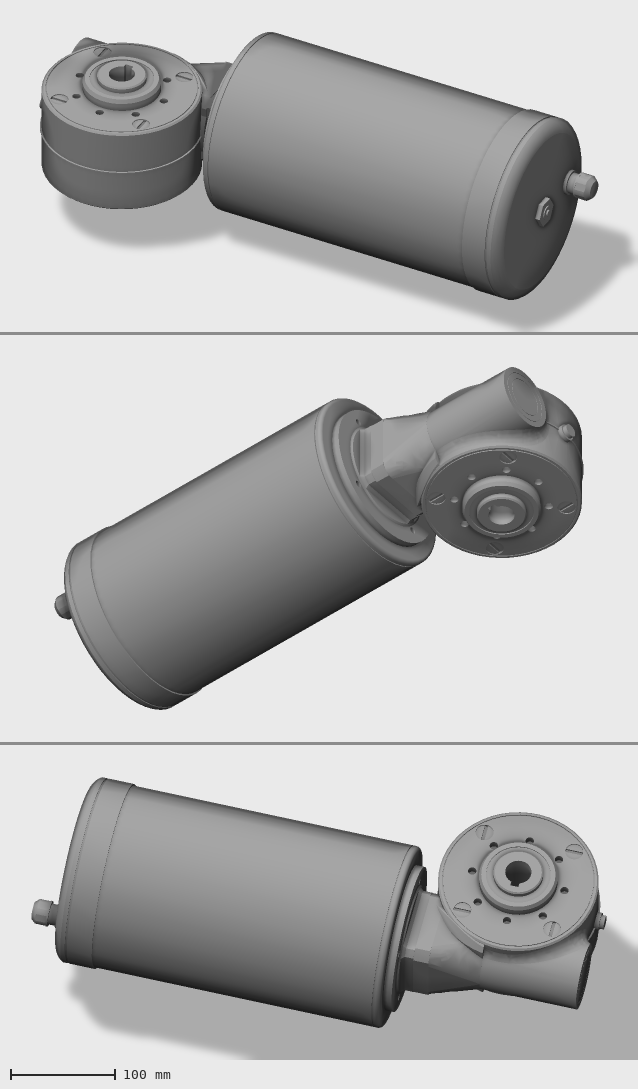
import cadquery as cq
import math

SHAFT_Y = 63.0

CASE_HALF = 44.5
CASE_EDGE_R = 77.0
SEAM_R = 78.5
SEAM_WIDTH = 1.0
CASE_CHAMFER = 1.5
COVER_R = 73.0
COVER_GROOVE_WIDTH = 1.0
COVER_GROOVE_DEPTH = 1.0

HUB_R = 75.0 / 2
HUB_TOP = 56.0
HUB_CHAMFER_R = 2.0
HUB_CHAMFER_H = 4.0
SEAL_R = 62.0 / 2
SEAL_DEPTH = 1.0
SHAFT_R = 47.5 / 2
SHAFT_TIP_R = 45.0 / 2
SHAFT_TOP = 61.0
BORE_R = 25.0 / 2
KEY_WIDTH = 8.0
KEY_REACH = 16.0

TAP_COUNT = 8
TAP_D = 8.0
TAP_PITCH_R = 45.5
TAP_DEPTH = 8.0
SCREW_COUNT = 4
SCREW_D = 17.0
SCREW_PITCH_R = 62.5
SCREW_RECESS = 1.0
SCREW_SLOT_WIDTH = 3.0
SCREW_SLOT_DEPTH = 2.5

PLUG_X = -85.5
PLUG_D = 13.5
PLUG_COLLAR_X = -81.0
PLUG_COLLAR_D = 17.0

TUBE_X = -80.0
TUBE_R = 32.0
TUBE_MARK_RADII = (20.0, 26.0)
TUBE_MARK_WIDTH = 0.5
TUBE_MARK_DEPTH = 0.5
TUBE_BLEND_R = 10.5
SELECT_MARGIN = 0.5
BULGE_R = 44.0
BULGE_RIM_R = 83.5
BULGE_RIM_Z = 37.0
TAPER_X0 = 15.0
BLOCK_X0 = 63.5
BLOCK_X1 = 78.5
BLOCK_HALF = 38.5
BLOCK_CORNER_R = 48.5
TAPER_START_ROUND = 31.5
TAPER_END_ROUND = 14.5

NECK_HALF = 75.0 / 2
NECK_CORNER_R = 49.0
FLARE_X0 = 87.0
FLARE_HALF = 40.5
FLANGE_X = 90.0
FLANGE_R = 53.5
FLANGE_TIP_R = 51.0
PLATE_X = 92.0
PLATE_R = 71.0
PLATE_HOLE_D = 7.0
PLATE_HOLE_DEPTH = 5.5
PLATE_HOLE_OFFSET = 41.0

MOTOR_X0 = 100.0
MOTOR_R = 178.0 / 2
MOTOR_EDGE_R = 4.0
MOTOR_GROOVE_X = 106.0
MOTOR_GROOVE_WIDTH = 1.0
CAP_X0 = 382.0
CAP_R = 181.0 / 2
CAP_GROOVE_X = 407.0
CAP_GROOVE_WIDTH = 2.0
GROOVE_DEPTH = 1.0
CAP_ROUND_X = 413.0
CAP_MID = (419.0, 85.0)
CAP_X1 = 421.0
CAP_FACE_R = 78.0

GLAND_Y = SHAFT_Y + 55.0
GLAND_BASE_X1 = 424.5
GLAND_BASE_R = 12.5
GLAND_NECK_R = 10.0
GLAND_NUT_X0 = 432.0
GLAND_NUT_R = 12.55
GLAND_ROUND_X = 443.5
GLAND_X1 = 448.5
GLAND_TIP_R = 8.5
GLAND_FLATS = 6
GLAND_FLAT_APOTHEM = 12.0
GLAND_FLAT_X0 = 433.5
GLAND_FLAT_LENGTH = 10.5

HEX_CORNERS = 28.5
HEX_X1 = 426.0
HEX_DISC_D = 14.0
HEX_DISC_X1 = 427.0
HEX_TIP_D = 6.5
HEX_TIP_X1 = 428.5


def rod(x0, x1, radius, y=SHAFT_Y, z=0):
    """Cylinder along X from x0 to x1."""
    return cq.Workplane("YZ", origin=(x0, y, z)).circle(radius).extrude(x1 - x0)


def ring(x0, x1, outer, inner):
    """Ring around the motor axis, used to cut grooves."""
    return cq.Workplane("YZ", origin=(x0, SHAFT_Y, 0)).circle(outer).circle(inner).extrude(x1 - x0)


def turned(sketch, y=SHAFT_Y):
    """Close a profile drawn as (x, radius) and turn it about an axis along X."""
    return sketch.close().revolve(360, (0, 0, 0), (1, 0, 0)).translate((0, y, 0))


def clipped_square(x0, x1, half0, half1, corner_r0, corner_r1):
    """Square bar along X whose corners are cut by a coaxial cone."""
    square = (
        cq.Workplane("YZ", origin=(x0, SHAFT_Y, 0))
        .rect(2 * half0, 2 * half0)
        .workplane(offset=x1 - x0)
        .rect(2 * half1, 2 * half1)
        .loft(ruled=True)
    )
    cone = turned(cq.Workplane("XY").moveTo(x0, 0).lineTo(x0, corner_r0).lineTo(x1, corner_r1).lineTo(x1, 0))
    return square.intersect(cone)


def half_casing():
    """Upper half of the gear casing with its hub and hollow shaft, turned about Z."""
    return (
        cq.Workplane("XZ")
        .polyline([
            (0, 0),
            (SEAM_R, 0),
            (SEAM_R, SEAM_WIDTH / 2),
            (CASE_EDGE_R, SEAM_WIDTH / 2),
            (CASE_EDGE_R, CASE_HALF - CASE_CHAMFER),
            (CASE_EDGE_R - CASE_CHAMFER, CASE_HALF),
            (COVER_R, CASE_HALF),
            (COVER_R, CASE_HALF - COVER_GROOVE_DEPTH),
            (COVER_R - COVER_GROOVE_WIDTH, CASE_HALF - COVER_GROOVE_DEPTH),
            (COVER_R - COVER_GROOVE_WIDTH, CASE_HALF),
            (HUB_R, CASE_HALF),
            (HUB_R, HUB_TOP - HUB_CHAMFER_H),
            (HUB_R - HUB_CHAMFER_R, HUB_TOP),
            (SEAL_R, HUB_TOP),
            (SEAL_R, HUB_TOP - SEAL_DEPTH),
            (SHAFT_R, HUB_TOP - SEAL_DEPTH),
            (SHAFT_R, SHAFT_TOP - (SHAFT_R - SHAFT_TIP_R)),
            (SHAFT_TIP_R, SHAFT_TOP),
            (0, SHAFT_TOP),
        ])
        .close()
        .revolve(360, (0, 0, 0), (0, 1, 0))
    )


def half_casing_cuts():
    """Tapped holes and slotted screw heads of the upper cover."""
    face = cq.Workplane("XY", origin=(0, 0, CASE_HALF))
    cuts = face.polarArray(TAP_PITCH_R, 0, 360, TAP_COUNT).circle(TAP_D / 2).extrude(-TAP_DEPTH)
    for index in range(SCREW_COUNT):
        angle = math.radians(360 / SCREW_COUNT * (index + 0.5))
        x = SCREW_PITCH_R * math.cos(angle)
        y = SCREW_PITCH_R * math.sin(angle)
        head = face.center(x, y).circle(SCREW_D / 2).extrude(-SCREW_RECESS)
        slot_bar = face.center(x, y).rect(SCREW_D, SCREW_SLOT_WIDTH).extrude(-SCREW_SLOT_DEPTH)
        slot_bar = slot_bar.rotate((x, y, 0), (x, y, 1), 90 * index)
        slot = slot_bar.intersect(face.center(x, y).circle(SCREW_D / 2).extrude(-SCREW_SLOT_DEPTH))
        cuts = cuts.union(head).union(slot)
    return cuts


def bore():
    """Through bore of the hollow shaft with its keyway on the motor side."""
    hole = cq.Workplane("XY").circle(BORE_R).extrude(SHAFT_TOP, both=True)
    key = cq.Workplane("XY").center(0, KEY_REACH / 2).rect(KEY_WIDTH, KEY_REACH).extrude(SHAFT_TOP, both=True)
    return hole.union(key)


def blended_tube():
    """Worm tube joined to the casing wall by a concave fillet."""
    wall = cq.Workplane("XY").circle(CASE_EDGE_R).extrude(CASE_HALF - CASE_CHAMFER, both=True)
    joined = wall.union(rod(TUBE_X, 2 * BLOCK_X1, TUBE_R))
    reach_x = -TUBE_X - SELECT_MARGIN
    reach_z = CASE_HALF - CASE_CHAMFER - SELECT_MARGIN
    seam_box = cq.selectors.BoxSelector(
        (-reach_x, 0, -reach_z), (reach_x, 2 * CASE_EDGE_R, reach_z), boundingbox=True
    )
    seam_edges = joined.edges(seam_box)
    room = rod(TUBE_X, BLOCK_X0, 2 * CASE_EDGE_R)
    return seam_edges.fillet(TUBE_BLEND_R).intersect(room)


def bulge():
    """Sloped shoulder between the casing wall and the widening of the worm housing."""
    slope = (
        cq.Workplane("XZ")
        .polyline([
            (0, -BULGE_R),
            (CASE_EDGE_R, -BULGE_R),
            (BULGE_RIM_R, -BULGE_RIM_Z),
            (BULGE_RIM_R, BULGE_RIM_Z),
            (CASE_EDGE_R, BULGE_R),
            (0, BULGE_R),
        ])
        .close()
        .revolve(360, (0, 0, 0), (0, 1, 0))
    )
    return rod(TAPER_X0, BLOCK_X1, BULGE_R).intersect(slope)


def worm_housing():
    """Worm tube, its blend into the casing, the widening block and the neck."""
    tube = blended_tube()
    for radius in TUBE_MARK_RADII:
        tube = tube.cut(ring(TUBE_X, TUBE_X + TUBE_MARK_DEPTH, radius, radius - TUBE_MARK_WIDTH))
    start = cq.Sketch().rect(2 * TUBE_R, 2 * TUBE_R).vertices().fillet(TAPER_START_ROUND)
    end = cq.Sketch().rect(2 * BLOCK_HALF, 2 * BLOCK_HALF).vertices().fillet(TAPER_END_ROUND)
    taper = (
        cq.Workplane("YZ", origin=(TAPER_X0, SHAFT_Y, 0))
        .placeSketch(start, end.moved(cq.Location(cq.Vector(0, 0, BLOCK_X0 - TAPER_X0))))
        .loft()
    )
    block = clipped_square(BLOCK_X0, BLOCK_X1, BLOCK_HALF, BLOCK_HALF, BLOCK_CORNER_R, BLOCK_CORNER_R)
    neck = clipped_square(BLOCK_X1, FLARE_X0, NECK_HALF, NECK_HALF, NECK_CORNER_R, NECK_CORNER_R)
    flare = clipped_square(FLARE_X0, FLANGE_X, NECK_HALF, FLARE_HALF, NECK_CORNER_R, FLANGE_TIP_R)
    return tube.union(bulge()).union(taper).union(block).union(neck).union(flare)


def side_plug():
    """Screw plug and collar on the casing, pointing away from the motor."""
    return rod(PLUG_X, -COVER_R, PLUG_D / 2, y=0).union(rod(PLUG_COLLAR_X, -COVER_R, PLUG_COLLAR_D / 2, y=0))


def motor():
    """Flange, mounting plate, motor body and end cap turned about the motor axis."""
    body = turned(
        cq.Workplane("XY")
        .moveTo(FLANGE_X, 0)
        .lineTo(FLANGE_X, FLANGE_TIP_R)
        .lineTo(PLATE_X, FLANGE_R)
        .lineTo(PLATE_X, PLATE_R)
        .lineTo(MOTOR_X0, PLATE_R)
        .lineTo(MOTOR_X0, MOTOR_R - MOTOR_EDGE_R)
        .radiusArc((MOTOR_X0 + MOTOR_EDGE_R, MOTOR_R), MOTOR_EDGE_R)
        .lineTo(CAP_X0, MOTOR_R)
        .lineTo(CAP_X0, CAP_R)
        .lineTo(CAP_ROUND_X, CAP_R)
        .threePointArc(CAP_MID, (CAP_X1, CAP_FACE_R))
        .lineTo(CAP_X1, 0)
    )
    body = body.cut(ring(MOTOR_GROOVE_X, MOTOR_GROOVE_X + MOTOR_GROOVE_WIDTH, CAP_R, MOTOR_R - GROOVE_DEPTH))
    body = body.cut(ring(CAP_GROOVE_X, CAP_GROOVE_X + CAP_GROOVE_WIDTH, CAP_R, CAP_R - GROOVE_DEPTH))
    for side_y in (-1, 1):
        for side_z in (-1, 1):
            y = SHAFT_Y + side_y * PLATE_HOLE_OFFSET
            z = side_z * PLATE_HOLE_OFFSET
            body = body.cut(rod(PLATE_X, PLATE_X + PLATE_HOLE_DEPTH, PLATE_HOLE_D / 2, y, z))
    return body


def cable_gland():
    """Cable gland with flats around its cap nut."""
    gland = turned(
        cq.Workplane("XY").polyline([
            (CAP_X1, 0),
            (CAP_X1, GLAND_BASE_R),
            (GLAND_BASE_X1, GLAND_BASE_R),
            (GLAND_BASE_X1, GLAND_NECK_R),
            (GLAND_NUT_X0, GLAND_NECK_R),
            (GLAND_NUT_X0, GLAND_NUT_R),
            (GLAND_ROUND_X, GLAND_NUT_R),
            (GLAND_X1, GLAND_TIP_R),
            (GLAND_X1, 0),
        ]),
        y=GLAND_Y,
    )
    flat = cq.Workplane("XY", origin=(GLAND_FLAT_X0, GLAND_Y, GLAND_FLAT_APOTHEM)).rect(
        GLAND_FLAT_LENGTH, 2 * GLAND_NUT_R, centered=(False, True)
    ).extrude(GLAND_NUT_R)
    for index in range(GLAND_FLATS):
        gland = gland.cut(flat.rotate((0, GLAND_Y, 0), (1, GLAND_Y, 0), 360 / GLAND_FLATS * index))
    return gland


def hex_plug():
    """Hexagon plug with a stepped tip, corners along Y."""
    head = cq.Workplane("YZ", origin=(CAP_X1, SHAFT_Y, 0)).polygon(6, HEX_CORNERS).extrude(HEX_X1 - CAP_X1)
    disc = rod(CAP_X1, HEX_DISC_X1, HEX_DISC_D / 2)
    tip = rod(CAP_X1, HEX_TIP_X1, HEX_TIP_D / 2)
    return head.union(disc).union(tip)


upper = half_casing()
upper_cuts = half_casing_cuts()
casing = upper.union(upper.mirror("XY"))
gearbox = casing.union(worm_housing()).union(side_plug())
gearbox = gearbox.cut(upper_cuts).cut(upper_cuts.mirror("XY")).cut(bore())

result = gearbox.union(motor()).union(cable_gland()).union(hex_plug())